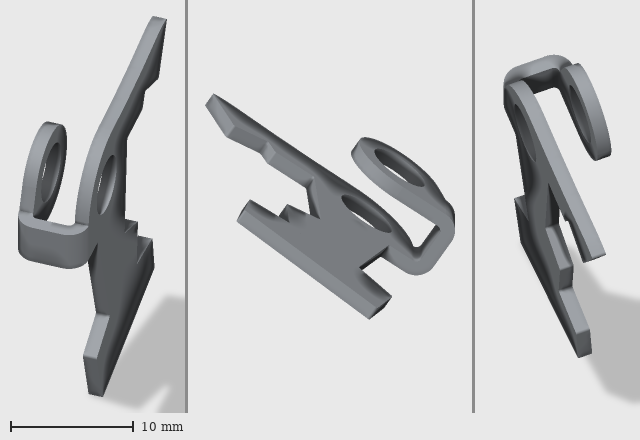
import cadquery as cq
import math


sheet = 1.2
outer_width = 6.0
bend_radius = 1.7
inner_bend_radius = bend_radius - sheet
front_y = -6.25
bend_start_y = front_y + bend_radius
strap_top = -0.7
strap_bottom = -4.35

hole_diameter = 5.01
ear_radius = 4.0
lower_ear_radius = -strap_bottom
lower_ear_center_y = ear_radius - lower_ear_radius

shoulder_radius = 6.02
shoulder_start = (1.42, 4.75)
back_start = (12.68, 5.6)
tip_crown = (13.99, 5.68)
tip = (15.25, 5.55)
corner_round = 0.2


def extrude_sheet(profile, x_left):
    """Extrude a (y, z) profile by one sheet thickness toward +X."""
    return profile.extrude(sheet).translate((x_left, 0, 0))


def make_lever():
    """Plate with the hooked arm, rounded shoulder and stepped foot."""
    center_y = shoulder_start[0]
    center_z = shoulder_start[1] - shoulder_radius
    shoulder_drop = math.sqrt(shoulder_radius**2 - (center_y - bend_start_y) ** 2)
    shoulder_end = (bend_start_y, center_z + shoulder_drop)
    diagonal = shoulder_radius * math.sqrt(0.5)
    shoulder_middle = (center_y - diagonal, center_z + diagonal)

    back_run = back_start[0] - shoulder_start[0]
    back_rise = back_start[1] - shoulder_start[1]
    back_radius = (back_run**2 + back_rise**2) / (2 * back_rise)
    half_run = back_run / 2
    half_rise = back_radius - math.sqrt(back_radius**2 - half_run**2)
    back_middle = (shoulder_start[0] + half_run, shoulder_start[1] + half_rise)

    lower_corners = [
        (13.1, 0.75),
        (9.7, 2.17),
        (9.03, 0.78),
        (5.18, 0.78),
        (4.5, -8.97),
        (7.88, -10.42),
        (7.55, -14.85),
        (11.53, -15.25),
        (12.05, -18.9),
        (-1.03, -22.2),
        (-2.54, -16.72),
        (0.8, -14.85),
        (-2.17, strap_bottom),
    ]
    profile = (
        cq.Workplane("YZ")
        .moveTo(bend_start_y, strap_bottom)
        .lineTo(*shoulder_end)
        .threePointArc(shoulder_middle, shoulder_start)
        .threePointArc(back_middle, back_start)
        .threePointArc(tip_crown, tip)
    )
    for corner in lower_corners:
        profile = profile.lineTo(*corner)
    plate = extrude_sheet(profile.close(), -sheet)

    for y, z in [tip] + lower_corners:
        edge = cq.selectors.NearestToPointSelector((-sheet / 2, y, z))
        plate = plate.edges("|X").edges(edge).fillet(corner_round)
    return plate


def make_ear():
    """Shorter pivot ear, with a straight flank tangent to its round top."""
    corner_distance = math.hypot(bend_start_y, strap_top)
    corner_angle = math.atan2(strap_top, -bend_start_y)
    flank_angle = corner_angle + math.acos(ear_radius / corner_distance)
    flank_start = (-ear_radius * math.cos(flank_angle), ear_radius * math.sin(flank_angle))

    diagonal = lower_ear_radius * math.sqrt(0.5)
    profile = (
        cq.Workplane("YZ")
        .moveTo(bend_start_y, strap_bottom)
        .lineTo(bend_start_y, strap_top)
        .lineTo(*flank_start)
        .threePointArc((0, ear_radius), (ear_radius, 0))
        .threePointArc(
            (lower_ear_center_y + diagonal, -diagonal),
            (lower_ear_center_y, strap_bottom),
        )
        .close()
    )
    return extrude_sheet(profile, -outer_width)


def make_strap():
    """U-shaped strap with two round bends, joining the ear to the lever."""
    corner_gap = 1 - math.sqrt(0.5)
    outer_cut = bend_radius * corner_gap
    inner_cut = inner_bend_radius * corner_gap
    left_inner = sheet - outer_width
    inner_y = front_y + sheet
    profile = (
        cq.Workplane("XY", origin=(0, 0, strap_bottom))
        .moveTo(0, bend_start_y)
        .threePointArc((-outer_cut, front_y + outer_cut), (-bend_radius, front_y))
        .lineTo(bend_radius - outer_width, front_y)
        .threePointArc(
            (outer_cut - outer_width, front_y + outer_cut),
            (-outer_width, bend_start_y),
        )
        .lineTo(left_inner, bend_start_y)
        .threePointArc(
            (left_inner + inner_cut, inner_y + inner_cut),
            (left_inner + inner_bend_radius, inner_y),
        )
        .lineTo(-sheet - inner_bend_radius, inner_y)
        .threePointArc(
            (-sheet - inner_cut, inner_y + inner_cut),
            (-sheet, bend_start_y),
        )
        .close()
    )
    return profile.extrude(strap_top - strap_bottom)


pivot_hole = (
    cq.Workplane("YZ", origin=(-outer_width, 0, 0))
    .circle(hole_diameter / 2)
    .extrude(outer_width)
)

result = make_lever().union(make_ear()).union(make_strap()).cut(pivot_hole)